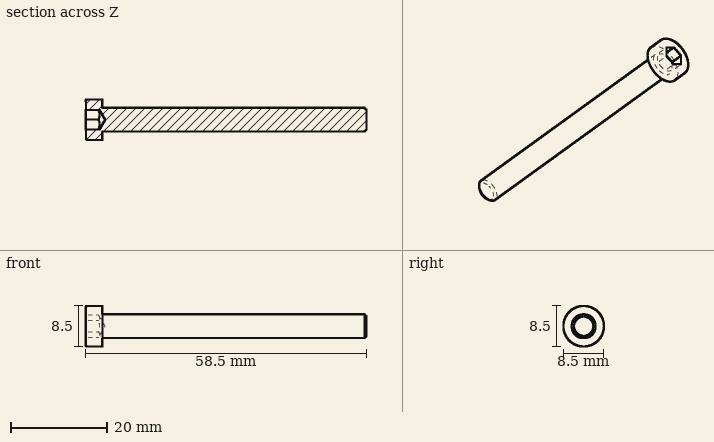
import cadquery as cq
import math

HEAD_DIAMETER = 8.5
HEAD_HEIGHT = 3.5
HEAD_ROUND = 0.35
SHANK_DIAMETER = 5.0
SHANK_LENGTH = 55.0
NECK_FILLET = 0.1
TIP_CHAMFER = 0.49

SOCKET_ACROSS_FLATS = 4.0
SOCKET_DEPTH = 2.7
SOCKET_FLOOR_ANGLE = 120.0

SOCKET_RADIUS = SOCKET_ACROSS_FLATS / math.sqrt(3)
SOCKET_CONE_HEIGHT = SOCKET_RADIUS / math.tan(math.radians(SOCKET_FLOOR_ANGLE / 2))
SOCKET_TOTAL_DEPTH = SOCKET_DEPTH + SOCKET_CONE_HEIGHT


def make_head():
    """Cylindrical head with a rounded rim on its outer face."""
    head = cq.Workplane("YZ").circle(HEAD_DIAMETER / 2).extrude(-HEAD_HEIGHT)
    return head.faces("<X").edges().fillet(HEAD_ROUND)


def make_shank():
    """Plain shank with a chamfered tip."""
    shank = cq.Workplane("YZ").circle(SHANK_DIAMETER / 2).extrude(SHANK_LENGTH)
    return shank.faces(">X").edges().chamfer(TIP_CHAMFER)


def make_neck_fillet():
    """Thin flared disc that blends the shank into the bearing face of the head."""
    shank_radius = SHANK_DIAMETER / 2
    blend = (1 - math.cos(math.radians(45))) * NECK_FILLET
    return (
        cq.Workplane("XY")
        .lineTo(0, shank_radius + NECK_FILLET)
        .threePointArc((blend, shank_radius + blend), (NECK_FILLET, shank_radius))
        .lineTo(NECK_FILLET, 0)
        .close()
        .revolve(360, (0, 0), (1, 0))
    )


def make_socket():
    """Hexagonal recess, corners toward +Z and -Z, ending in a drill-point cone."""
    head_top = -HEAD_HEIGHT
    hexagon = (
        cq.Workplane("YZ", origin=(head_top, 0, 0))
        .transformed(rotate=(0, 0, 90))
        .polygon(6, 2 * SOCKET_RADIUS)
        .extrude(SOCKET_TOTAL_DEPTH)
    )
    drill = (
        cq.Workplane("XY", origin=(head_top, 0, 0))
        .lineTo(0, SOCKET_RADIUS)
        .lineTo(SOCKET_DEPTH, SOCKET_RADIUS)
        .lineTo(SOCKET_TOTAL_DEPTH, 0)
        .close()
        .revolve(360, (0, 0), (1, 0))
    )
    return hexagon.intersect(drill)


result = make_head().union(make_shank()).union(make_neck_fillet()).cut(make_socket())